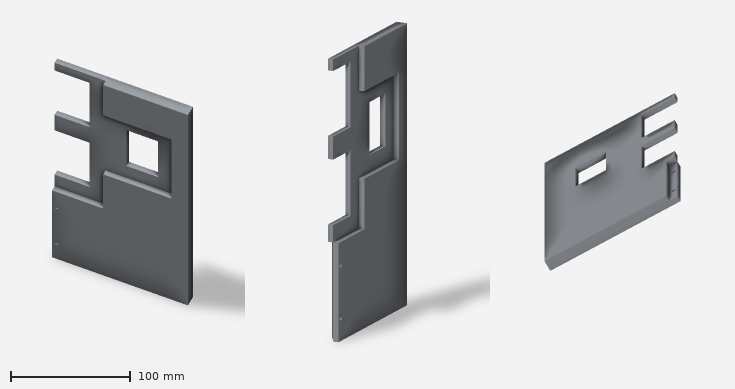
import cadquery as cq

width = 125.0
thickness = 10.0
height = 245.0

border = 15.0

notch_depth = 32.0
notch_height = 57.0
middle_tab_height = 20.0
top_tab_height = 10.0
upper_notch_bottom = height - top_tab_height - notch_height
lower_notch_bottom = upper_notch_bottom - middle_tab_height - notch_height

recess_depth = thickness / 2
band_right = notch_depth + border
band_bottom = lower_notch_bottom - border
pocket_right = width - border
pocket_bottom = 130.0
pocket_top = 206.0

window_width = 29.0
window_right = pocket_right - border
window_left = window_right - window_width
window_bottom = pocket_bottom + border
window_top = pocket_top - border

lip_thickness = thickness - recess_depth
lip_width = 8.0

hole_diameter = 4.0
hole_x = lip_width / 2
hole_heights = (20.0, 66.0)


def block(x_range, y_range, z_range):
    """Box spanning the given (low, high) ranges."""
    (x0, x1), (y0, y1), (z0, z1) = x_range, y_range, z_range
    box = cq.Workplane("XY").box(x1 - x0, y1 - y0, z1 - z0, centered=False)
    return box.translate((x0, y0, z0))


def front_recess():
    """Stepped half-thickness recess, open at the left edge and the top."""
    depth_range = (0, recess_depth)
    band = block((0, band_right), depth_range, (band_bottom, height))
    pocket = block((0, pocket_right), depth_range, (pocket_bottom, pocket_top))
    return band.union(pocket)


def rear_rebate():
    """Step behind the lip along the lower left edge."""
    return block((0, lip_width), (lip_thickness, thickness), (0, band_bottom))


def edge_notch(bottom):
    """Through notch in the left edge starting at the given height."""
    return block((0, notch_depth), (0, thickness), (bottom, bottom + notch_height))


def window():
    """Rectangular opening through the pocket floor."""
    return block((window_left, window_right), (0, thickness), (window_bottom, window_top))


def screw_hole(z):
    """Cylinder along Y at the given height in the lip."""
    return cq.Workplane("XZ").center(hole_x, z).circle(hole_diameter / 2).extrude(-thickness)


panel = block((0, width), (0, thickness), (0, height))
panel = panel.cut(front_recess()).cut(rear_rebate()).cut(window())

for notch_bottom in (lower_notch_bottom, upper_notch_bottom):
    panel = panel.cut(edge_notch(notch_bottom))

for hole_z in hole_heights:
    panel = panel.cut(screw_hole(hole_z))

result = panel